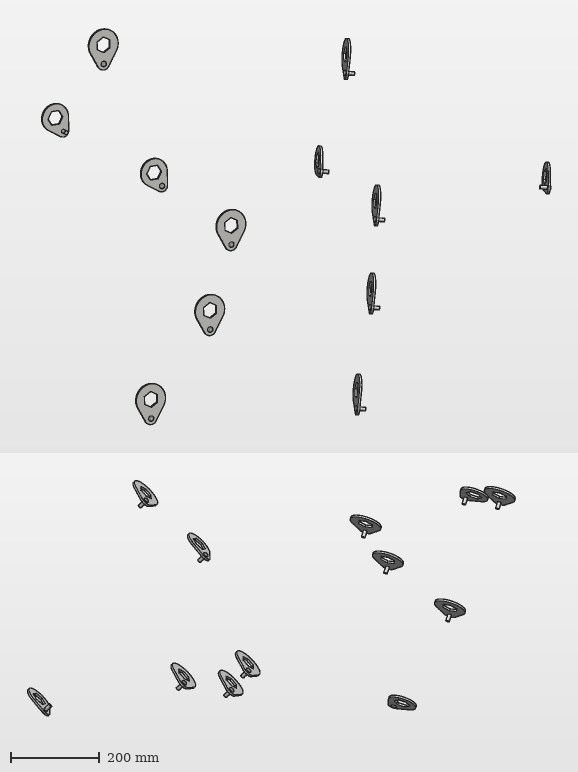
import cadquery as cq
import math


plate_thickness = 5.08
hex_across_flats = 31.75
hex_turn = 2.5
pin_diameter = 8.89
pin_length = 16.0
head_diameter = 12.7
head_height = 3.175
head_fillet = 2.54

large_hub_radius = 36.35
large_tip_radius = 14.605
large_arm_length = 44.45

small_hub_radius = 32.62
small_tip_radius = 14.06
small_arm_length = 38.1
small_arm_tilt = 30.0

large_arm_x = 177.37
large_hub_centers = [
    (-158.97, 432.16),
    (158.97, -25.94),
    (106.20, -218.32),
    (-41.01, -409.455),
]
outer_width = 536.76
small_arm_x = outer_width / 2 - plate_thickness - head_height
small_hub_y = -71.64
small_hub_z = 143.75


def make_plate(hub_radius, tip_radius, arm_length):
    """Teardrop plate: hub and tip arcs joined by tangent lines, back face at X = 0."""
    tangent_sin = (hub_radius - tip_radius) / arm_length
    tangent_cos = math.sqrt(1 - tangent_sin**2)
    hub_y = hub_radius * tangent_cos
    hub_z = -hub_radius * tangent_sin
    tip_y = tip_radius * tangent_cos
    tip_z = -arm_length - tip_radius * tangent_sin
    return (
        cq.Workplane("YZ")
        .moveTo(hub_y, hub_z)
        .threePointArc((0, hub_radius), (-hub_y, hub_z))
        .lineTo(-tip_y, tip_z)
        .threePointArc((0, -arm_length - tip_radius), (tip_y, tip_z))
        .close()
        .extrude(plate_thickness)
    )


def make_hex_bore():
    """Hexagonal prism through the hub, a corner near the arm's long axis."""
    across_corners = hex_across_flats / math.cos(math.pi / 6)
    corner_up = 30.0
    return (
        cq.Workplane("YZ")
        .polygon(6, across_corners)
        .extrude(plate_thickness)
        .rotate((0, 0, 0), (1, 0, 0), corner_up + hex_turn)
    )


def make_pin(arm_length):
    """Cylindrical pin standing off the plate's back face, toward -X."""
    return cq.Workplane("YZ").center(0, -arm_length).circle(pin_diameter / 2).extrude(-pin_length)


def make_head(arm_length):
    """Rounded head on the plate's front face, coaxial with the pin."""
    return (
        cq.Workplane("YZ", origin=(plate_thickness, 0, 0))
        .center(0, -arm_length)
        .circle(head_diameter / 2)
        .extrude(head_height)
        .faces(">X")
        .edges()
        .fillet(head_fillet)
    )


def make_arm(hub_radius, tip_radius, arm_length):
    """One-piece arm hanging down from its hub center at the origin."""
    return (
        make_plate(hub_radius, tip_radius, arm_length)
        .cut(make_hex_bore())
        .union(make_pin(arm_length))
        .union(make_head(arm_length))
    )


def make_large_arm(hub_y, hub_z):
    arm = make_arm(large_hub_radius, large_tip_radius, large_arm_length)
    return arm.translate((large_arm_x, hub_y, hub_z))


def make_small_arm():
    """Tilted arm on the +X side, its pin pointing inward."""
    arm = make_arm(small_hub_radius, small_tip_radius, small_arm_length)
    tilted_arm = arm.rotate((0, 0, 0), (1, 0, 0), small_arm_tilt)
    return tilted_arm.translate((small_arm_x, small_hub_y, small_hub_z))


large_arms = [make_large_arm(hub_y, hub_z) for hub_y, hub_z in large_hub_centers]
small_arm = make_small_arm()
small_arms = [small_arm, small_arm.mirror("YZ")]

result = cq.Compound.makeCompound([arm.solids().val() for arm in large_arms + small_arms])